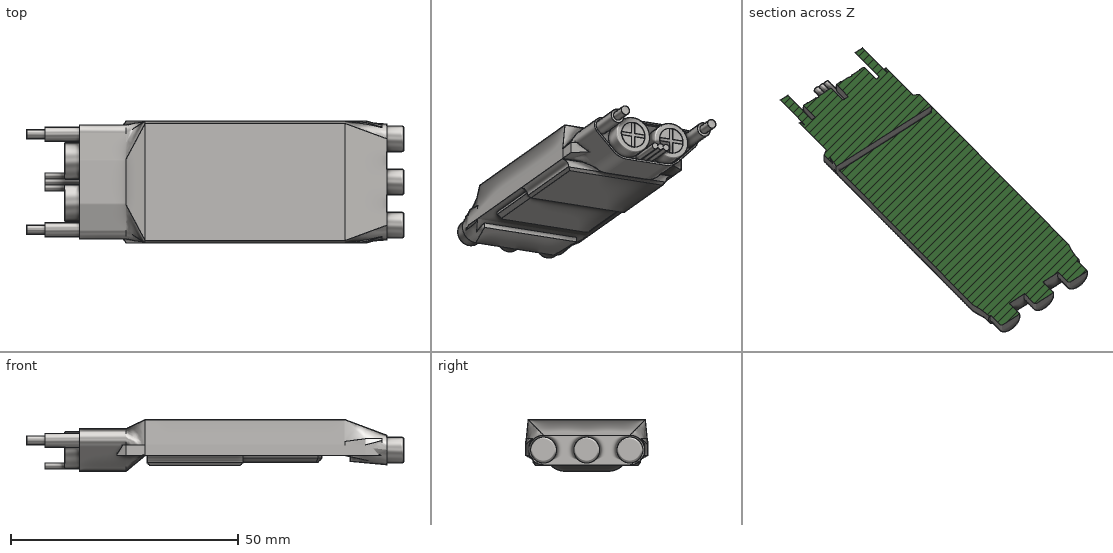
import math

import cadquery as cq


SUPPLY_TIP = 0.0
INSULATION_START = 4.05
CAP_START = 8.35
BOOT_START = 11.6
BOARD_START = 19.85
BOOT_END = 21.9
BOARD_FULL_START = BOOT_END
SHELL_START = 26.1
SHELL_END = 70.03
BOARD_FULL_END = 74.6
BOARD_END = 78.2
MOTOR_BOOT_END = 79.3
MOTOR_TIP = 83.03

CAP_Y = 4.63
CAP_RADIUS = 4.05
CAP_EDGE_FILLET = 0.3
CAP_BOOT_RADIUS = 4.7
CAP_Z = CAP_BOOT_RADIUS
CAP_MARK_RADIUS = 2.85
CAP_MARK_DEPTH = 0.1
CAP_CROSS_WIDTH = 0.75
CAP_CROSS_DEPTH = 0.25
SUPPLY_Y = 10.5
SUPPLY_Z = 6.83
SUPPLY_BOOT_RADIUS = 2.05
INSULATION_RADIUS = 1.55
CONDUCTOR_RADIUS = 1.0
BOOT_WALL = 0.4
BOOT_RECESS = 1.0
LEAD_INNER_END = BOOT_START + 2 * BOOT_RECESS

SIGNAL_RADIUS = 0.7
SIGNAL_PITCH = 1.33
SIGNAL_Z = 1.2

BOARD_BOTTOM = 3.5
BOARD_TOP = 5.85
BOARD_HALF_WIDTH = 26.91 / 2
BOARD_START_HALF_WIDTH = 10.3
BOARD_END_HALF_WIDTH = 12.5
SHELL_TOP = 11.41
SHELL_TOP_HALF_WIDTH = 12.9
RIDGE_OFFSET = 0.4
FLARE_INSET = 0.03

SKIN_RIDGE_LOW = 6.6
SKIN_RIDGE_HIGH = 7.2
SKIN_RIDGE_HALF_WIDTH = 13.1

MOTOR_PITCH = 9.5
MOTOR_Z = 4.7
MOTOR_LEAD_RADIUS = 2.85
MOTOR_LEAD_FILLET = 0.5
MOTOR_BOOT_RADIUS = 3.25
MOTOR_PAD_START = 71.2
MOTOR_PAD_BOTTOM = 2.2
MOTOR_PAD_HALF_WIDTH = 11.2

LARGE_COMPONENT_SPAN = (26.5, 47.6)
LARGE_COMPONENT_SHOULDER = 11.8
LARGE_COMPONENT_WAIST = 2.0
LARGE_COMPONENT_FOOT = 11.3
LARGE_COMPONENT_BOTTOM = 1.3
LARGE_COMPONENT_CHAMFER = 0.6
SMALL_COMPONENT_SPAN = (46.5, 65.0)
SMALL_COMPONENT_HALF_WIDTH = 11.5
SMALL_COMPONENT_BOTTOM = 2.0
SMALL_COMPONENT_CHAMFER = 0.9

CENTRE_DISTANCE = math.hypot(SUPPLY_Y - CAP_Y, SUPPLY_Z - CAP_Z)
CENTRE_ANGLE = math.atan2(SUPPLY_Z - CAP_Z, SUPPLY_Y - CAP_Y)
TANGENT_SPREAD = math.acos((CAP_BOOT_RADIUS - SUPPLY_BOOT_RADIUS) / CENTRE_DISTANCE)
UPPER_TANGENT = CENTRE_ANGLE + TANGENT_SPREAD
LOWER_TANGENT = CENTRE_ANGLE - TANGENT_SPREAD


def section(x):
    """Plane across the part at station x, with local axes Y and Z."""
    return cq.Workplane("YZ", origin=(x, 0, 0))


def rod(x_start, x_end, y, z, radius):
    """Round bar along X."""
    return section(x_start).center(y, z).circle(radius).extrude(x_end - x_start)


def box(x_start, x_end, half_width, z_bottom, z_top):
    """Block placed symmetrically about Y = 0."""
    profile = section(x_start).center(0, (z_bottom + z_top) / 2)
    return profile.rect(2 * half_width, z_top - z_bottom).extrude(x_end - x_start)


def boot_outline(plane, shrink=0.0):
    """Taut band around both capacitors and both supply leads, moved in by shrink."""
    cap_radius = CAP_BOOT_RADIUS - shrink
    lead_radius = SUPPLY_BOOT_RADIUS - shrink

    def on_cap(angle, side):
        return side * (CAP_Y + cap_radius * math.cos(angle)), CAP_Z + cap_radius * math.sin(angle)

    def on_lead(angle, side):
        return side * (SUPPLY_Y + lead_radius * math.cos(angle)), SUPPLY_Z + lead_radius * math.sin(angle)

    top = math.pi / 2
    bottom = -math.pi / 2
    mid_upper = (top + UPPER_TANGENT) / 2
    mid_lower = (bottom + LOWER_TANGENT) / 2
    outline = plane.moveTo(*on_cap(top, 1))
    outline = outline.threePointArc(on_cap(mid_upper, 1), on_cap(UPPER_TANGENT, 1))
    outline = outline.lineTo(*on_lead(UPPER_TANGENT, 1))
    outline = outline.threePointArc(on_lead(CENTRE_ANGLE, 1), on_lead(LOWER_TANGENT, 1))
    outline = outline.lineTo(*on_cap(LOWER_TANGENT, 1))
    outline = outline.threePointArc(on_cap(mid_lower, 1), on_cap(bottom, 1))
    outline = outline.lineTo(*on_cap(bottom, -1))
    outline = outline.threePointArc(on_cap(mid_lower, -1), on_cap(LOWER_TANGENT, -1))
    outline = outline.lineTo(*on_lead(LOWER_TANGENT, -1))
    outline = outline.threePointArc(on_lead(CENTRE_ANGLE, -1), on_lead(UPPER_TANGENT, -1))
    outline = outline.lineTo(*on_cap(UPPER_TANGENT, -1))
    outline = outline.threePointArc(on_cap(mid_upper, -1), on_cap(top, -1))
    return outline.close()


def mirrored_polygon(plane, half):
    """Closed polygon from its +Y half, listed from top to bottom."""
    other_half = [(-y, z) for y, z in reversed(half)]
    return plane.polyline(half + other_half).close()


def rear_boot():
    """Sleeve end around the capacitors, open by a shallow recess, and its flare to the shell."""
    boot = boot_outline(section(BOOT_START)).extrude(BOOT_END - BOOT_START)
    boot = boot.cut(boot_outline(section(BOOT_START), BOOT_WALL).extrude(BOOT_RECESS))
    shell_half = [
        (SHELL_TOP_HALF_WIDTH - RIDGE_OFFSET, SHELL_TOP),
        (SHELL_TOP_HALF_WIDTH, SHELL_TOP),
        (BOARD_HALF_WIDTH - FLARE_INSET, BOARD_TOP + FLARE_INSET),
        (BOARD_HALF_WIDTH - FLARE_INSET, BOARD_BOTTOM),
        (CAP_Y + CAP_BOOT_RADIUS, BOARD_BOTTOM),
        (CAP_Y, BOARD_BOTTOM),
    ]
    flare = boot_outline(section(BOOT_END)).workplane(offset=SHELL_START - BOOT_END)
    return boot.union(mirrored_polygon(flare, shell_half).loft(ruled=True))


def shell():
    """Board with its tapered rear end, and the tapered cover standing on it."""
    board_plan = [
        (BOARD_START, BOARD_START_HALF_WIDTH),
        (BOARD_FULL_START, BOARD_HALF_WIDTH),
        (BOARD_FULL_END, BOARD_HALF_WIDTH),
    ]
    outline = board_plan + [(x, -y) for x, y in reversed(board_plan)]
    board = cq.Workplane("XY", origin=(0, 0, BOARD_BOTTOM)).polyline(outline).close()
    board = board.extrude(BOARD_TOP - BOARD_BOTTOM)
    cover_half = [
        (SHELL_TOP_HALF_WIDTH, SHELL_TOP),
        (BOARD_HALF_WIDTH, BOARD_TOP),
    ]
    cover = mirrored_polygon(section(SHELL_START), cover_half).extrude(SHELL_END - SHELL_START)
    return board.union(cover)


def motor_boot_outline(plane):
    """Taut band around the three motor leads."""
    top = MOTOR_Z + MOTOR_BOOT_RADIUS
    bottom = MOTOR_Z - MOTOR_BOOT_RADIUS
    reach = MOTOR_PITCH + MOTOR_BOOT_RADIUS
    diagonal = MOTOR_BOOT_RADIUS * math.sqrt(0.5)
    outline = plane.moveTo(MOTOR_PITCH, top)
    outline = outline.threePointArc((MOTOR_PITCH + diagonal, MOTOR_Z + diagonal), (reach, MOTOR_Z))
    outline = outline.threePointArc((MOTOR_PITCH + diagonal, MOTOR_Z - diagonal), (MOTOR_PITCH, bottom))
    outline = outline.lineTo(-MOTOR_PITCH, bottom)
    outline = outline.threePointArc((-MOTOR_PITCH - diagonal, MOTOR_Z - diagonal), (-reach, MOTOR_Z))
    outline = outline.threePointArc((-MOTOR_PITCH - diagonal, MOTOR_Z + diagonal), (-MOTOR_PITCH, top))
    return outline.close()


def motor_boot_part(x_start, half):
    """Ruled body from a polygon at x_start to the band around the motor leads."""
    start = mirrored_polygon(section(x_start), half).workplane(offset=MOTOR_BOOT_END - x_start)
    return motor_boot_outline(start).loft(ruled=True)


def board_end_skin():
    """Sleeve stretched over the board corners, rising to a ridge as it narrows."""

    def skin_half(ridge, side):
        return [ridge, side, (side[0], BOARD_BOTTOM)]

    board_corner = (BOARD_HALF_WIDTH, BOARD_TOP)
    first_half = skin_half((BOARD_HALF_WIDTH, SKIN_RIDGE_LOW), board_corner)
    middle_half = skin_half((SKIN_RIDGE_HALF_WIDTH, SKIN_RIDGE_HIGH), board_corner)
    last_half = skin_half(
        (BOARD_END_HALF_WIDTH - RIDGE_OFFSET, SKIN_RIDGE_HIGH),
        (BOARD_END_HALF_WIDTH, SKIN_RIDGE_HIGH - RIDGE_OFFSET),
    )
    rise = mirrored_polygon(section(SHELL_END), first_half).workplane(offset=BOARD_FULL_END - SHELL_END)
    rise = mirrored_polygon(rise, middle_half).loft(ruled=True)
    end = mirrored_polygon(section(BOARD_FULL_END), middle_half)
    end = end.workplane(offset=BOARD_END - BOARD_FULL_END)
    return rise.union(mirrored_polygon(end, last_half).loft(ruled=True))


def motor_boot():
    """Sleeve end tapering from the shell, and the pad below the board that joins it."""
    taper = motor_boot_part(
        SHELL_END,
        [
            (SHELL_TOP_HALF_WIDTH, SHELL_TOP),
            (BOARD_HALF_WIDTH, BOARD_TOP),
            (BOARD_HALF_WIDTH, BOARD_BOTTOM),
        ],
    )
    pad = motor_boot_part(
        MOTOR_PAD_START,
        [
            (MOTOR_PAD_HALF_WIDTH, BOARD_TOP),
            (MOTOR_PAD_HALF_WIDTH, BOARD_BOTTOM),
            (MOTOR_PAD_HALF_WIDTH, MOTOR_PAD_BOTTOM),
        ],
    )
    return taper.union(pad).union(board_end_skin())


def capacitor(y):
    """Can with a rounded rim and a cross-scored vent on its end."""
    can = rod(CAP_START, LEAD_INNER_END, y, CAP_Z, CAP_RADIUS)
    can = can.faces("<X").edges().fillet(CAP_EDGE_FILLET)
    disc = rod(CAP_START, CAP_START + CAP_MARK_DEPTH, y, CAP_Z, CAP_MARK_RADIUS)
    face = section(CAP_START).center(y, CAP_Z)
    bar = face.rect(2 * CAP_MARK_RADIUS, CAP_CROSS_WIDTH).extrude(CAP_CROSS_DEPTH)
    cross = bar.union(bar.rotate((0, y, CAP_Z), (1, y, CAP_Z), 90))
    groove = cross.intersect(rod(CAP_START, CAP_START + CAP_CROSS_DEPTH, y, CAP_Z, CAP_MARK_RADIUS))
    return can.cut(disc).cut(groove)


def supply_lead(y):
    """Insulated lead with a bare conductor at its tip."""
    insulation = rod(INSULATION_START, LEAD_INNER_END, y, SUPPLY_Z, INSULATION_RADIUS)
    return insulation.union(rod(SUPPLY_TIP, INSULATION_START, y, SUPPLY_Z, CONDUCTOR_RADIUS))


def signal_lead(y):
    """Thin lead of the receiver cable."""
    return rod(INSULATION_START, LEAD_INNER_END, y, SIGNAL_Z, SIGNAL_RADIUS)


def motor_lead(y):
    """Motor lead with a rounded end."""
    lead = rod(MOTOR_BOOT_END, MOTOR_TIP, y, MOTOR_Z, MOTOR_LEAD_RADIUS)
    return lead.faces(">X").edges().fillet(MOTOR_LEAD_FILLET)


def large_component():
    """Component below the board, its cover flaring out to the board edges in a hollow curve."""
    start, end = LARGE_COMPONENT_SPAN
    flare_width = BOARD_HALF_WIDTH - LARGE_COMPONENT_SHOULDER
    flare_height = BOARD_BOTTOM - LARGE_COMPONENT_WAIST
    hollow = (
        BOARD_HALF_WIDTH - flare_width * math.sqrt(0.5),
        LARGE_COMPONENT_WAIST + flare_height * math.sqrt(0.5),
    )
    shoulder = (LARGE_COMPONENT_SHOULDER, LARGE_COMPONENT_WAIST)
    rim = (BOARD_HALF_WIDTH, BOARD_BOTTOM)
    outline = section(start).moveTo(*rim).threePointArc(hollow, shoulder)
    outline = outline.lineTo(LARGE_COMPONENT_FOOT, LARGE_COMPONENT_BOTTOM)
    outline = outline.lineTo(-LARGE_COMPONENT_FOOT, LARGE_COMPONENT_BOTTOM)
    outline = outline.lineTo(-shoulder[0], shoulder[1])
    outline = outline.threePointArc((-hollow[0], hollow[1]), (-rim[0], rim[1]))
    block = outline.close().extrude(end - start)
    return block.faces("<Z").edges("|Y").chamfer(LARGE_COMPONENT_CHAMFER)


def small_component():
    """Component below the board, bevelled around its underside and corners."""
    start, end = SMALL_COMPONENT_SPAN
    block = box(start, end, SMALL_COMPONENT_HALF_WIDTH, SMALL_COMPONENT_BOTTOM, BOARD_TOP)
    block = block.edges("|Z").chamfer(SMALL_COMPONENT_CHAMFER)
    return block.faces("<Z").edges().chamfer(SMALL_COMPONENT_CHAMFER)


result = shell().union(rear_boot()).union(motor_boot())
result = result.union(large_component()).union(small_component())
for side in (-1, 1):
    result = result.union(capacitor(side * CAP_Y)).union(supply_lead(side * SUPPLY_Y))
for index in (-1, 0, 1):
    result = result.union(signal_lead(index * SIGNAL_PITCH)).union(motor_lead(index * MOTOR_PITCH))